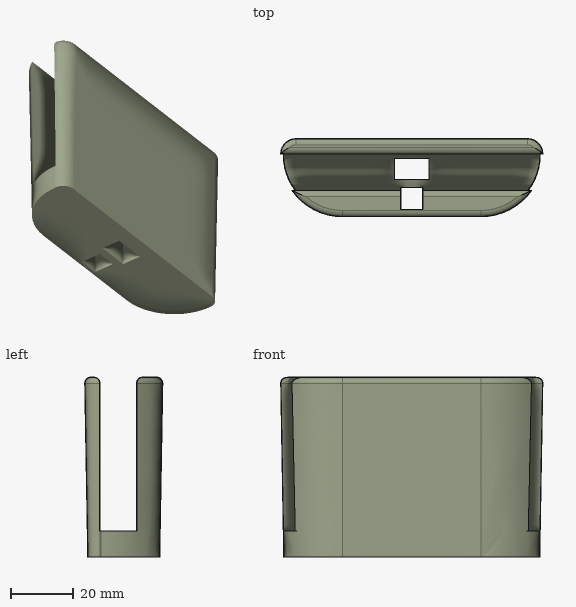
import cadquery as cq

base_width = 82.5
base_depth = 23.2
height = 58.0
draft_angle = 1.0
back_corner_radius = 4.0
front_corner_radius = 19.0
rim_radius = 2.0

slot_depth = 11.8
floor_thickness = 8.5
back_wall_base = 3.92

floor_hole_width = 11.0
floor_hole_depth = 6.7
floor_hole_gap = 1.5

channel_size = 7.0
channel_overlap = 0.9

half_width = base_width / 2
back_y = back_wall_base
front_y = back_y - base_depth
over_width = 2 * base_width


def draft_body():
    """Base outline with two corner radii, extruded upwards with draft."""
    back_flat = half_width - back_corner_radius
    front_flat = half_width - front_corner_radius
    outline = (
        cq.Workplane("XY")
        .moveTo(-front_flat, front_y)
        .lineTo(front_flat, front_y)
        .tangentArcPoint((half_width, front_y + front_corner_radius), relative=False)
        .lineTo(half_width, back_y - back_corner_radius)
        .tangentArcPoint((back_flat, back_y), relative=False)
        .lineTo(-back_flat, back_y)
        .tangentArcPoint((-half_width, back_y - back_corner_radius), relative=False)
        .lineTo(-half_width, front_y + front_corner_radius)
        .tangentArcPoint((-front_flat, front_y), relative=False)
        .close()
    )
    return outline.extrude(height, taper=-draft_angle)


def vertical_cutter(width, depth, back_edge_y, bottom_z):
    """Box centred on X that runs from bottom_z up to the top of the body."""
    return (
        cq.Workplane("XY", origin=(0, back_edge_y - depth / 2, bottom_z))
        .rect(width, depth)
        .extrude(height - bottom_z)
    )


slot = vertical_cutter(over_width, slot_depth, 0, floor_thickness)
floor_hole = vertical_cutter(floor_hole_width, floor_hole_depth, -floor_hole_gap, 0)
channel = vertical_cutter(channel_size, channel_size, channel_overlap - slot_depth, 0)

walls = draft_body().cut(slot)
rounded_walls = walls.faces(">Z").edges().fillet(rim_radius)

result = rounded_walls.cut(floor_hole).cut(channel)